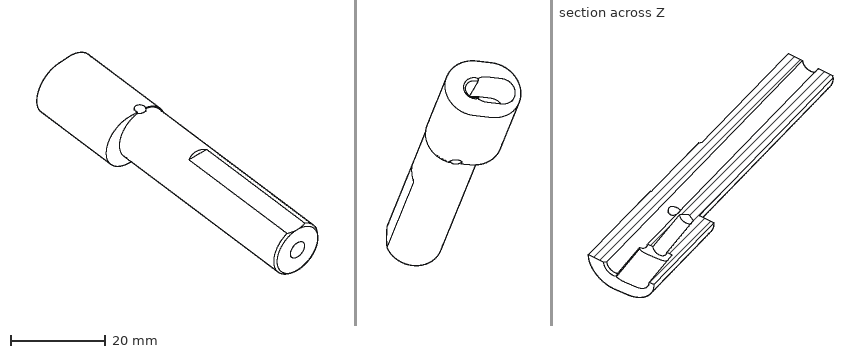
import cadquery as cq
import math

total_length = 73.0
head_length = 23.0

head_radius = 6.5
head_offset = 3.5
face_tilt = 4.0

shank_radius = 6.25
shank_chamfer = 0.5
flat_length = 32.0
flat_width = 5.0
flat_height = math.sqrt(shank_radius**2 - (flat_width / 2) ** 2)
flat_depth = shank_radius - flat_height

bore_diameter = 4.0
bore_chamfer = 0.5

cross_hole_diameter = 2.5
cross_hole_x = 22.5

pocket_radius = 3.0
pocket_near_wall = 0.75
pocket_near_center = 2.5
pocket_far_center = 5.75
pocket_depth = 9.5
blind_hole_diameter = 3.3
blind_hole_depth = 11.0
drill_point_angle = 118.0

tilt_sine = math.sin(math.radians(face_tilt))
tilt_cosine = math.cos(math.radians(face_tilt))
tilted_face = cq.Plane(
    origin=(0, 0, 0),
    xDir=(tilt_sine, -tilt_cosine, 0),
    normal=(tilt_cosine, tilt_sine, 0),
)


def make_head():
    """Obround head whose end face is cut back at an angle for Y < 0."""
    head = (
        cq.Workplane("YZ")
        .center(-head_offset / 2, 0)
        .slot2D(head_offset + 2 * head_radius, 2 * head_radius)
        .extrude(head_length)
    )
    reach = head_offset + 2 * head_radius
    wedge = (
        cq.Workplane("XY")
        .polyline([(0, 0), (reach * tilt_sine / tilt_cosine, -reach), (0, -reach)])
        .close()
        .extrude(head_radius, both=True)
    )
    return head.cut(wedge)


def make_shank():
    """Round shank with a chamfered free end, running on from the head."""
    shank = cq.Workplane("YZ").workplane(offset=head_length).circle(shank_radius)
    return shank.extrude(total_length - head_length).faces(">X").chamfer(shank_chamfer)


def flat_cutter():
    """Cutter for the flat on the +Z side, entering on a 45 degree ramp."""
    flat_start = total_length - flat_length
    return (
        cq.Workplane("XZ")
        .moveTo(flat_start, flat_height)
        .lineTo(total_length, flat_height)
        .lineTo(total_length, shank_radius)
        .lineTo(flat_start - flat_depth, shank_radius)
        .close()
        .extrude(shank_radius, both=True)
    )


def bore_cutter():
    """Through bore with a countersunk mouth at the head end."""
    bore_radius = bore_diameter / 2
    return (
        cq.Workplane("XY")
        .polyline([
            (0, 0),
            (0, bore_radius + bore_chamfer),
            (bore_chamfer, bore_radius),
            (total_length, bore_radius),
            (total_length, 0),
        ])
        .close()
        .revolve(360, (0, 0, 0), (1, 0, 0))
    )


def pocket_cutter():
    """Slot-shaped pocket square to the tilted end face, its near end trimmed by a flat wall."""
    wall_offset = pocket_near_center - pocket_near_wall
    wall_half_width = math.sqrt(pocket_radius**2 - wall_offset**2)
    mid_angle = (math.acos(wall_offset / pocket_radius) + math.pi / 2) / 2
    mid_x = pocket_near_center - pocket_radius * math.cos(mid_angle)
    mid_y = pocket_radius * math.sin(mid_angle)
    return (
        cq.Workplane(tilted_face)
        .moveTo(pocket_near_wall, wall_half_width)
        .threePointArc((mid_x, mid_y), (pocket_near_center, pocket_radius))
        .lineTo(pocket_far_center, pocket_radius)
        .threePointArc((pocket_far_center + pocket_radius, 0), (pocket_far_center, -pocket_radius))
        .lineTo(pocket_near_center, -pocket_radius)
        .threePointArc((mid_x, -mid_y), (pocket_near_wall, -wall_half_width))
        .close()
        .extrude(pocket_depth)
    )


def blind_hole_cutter():
    """Drilled hole with a conical tip in the pocket floor."""
    radius = blind_hole_diameter / 2
    hole_end = pocket_depth + blind_hole_depth
    tip_length = radius / math.tan(math.radians(drill_point_angle / 2))
    mouth = tilted_face.toWorldCoords((pocket_far_center, 0, 0))
    drill_plane = cq.Plane(origin=mouth, xDir=tilted_face.xDir, normal=tilted_face.yDir)
    return (
        cq.Workplane(drill_plane)
        .polyline([(0, 0), (radius, 0), (radius, -hole_end), (0, -hole_end - tip_length)])
        .close()
        .revolve(360, (0, 0, 0), (0, 1, 0))
    )


def cross_hole_cutter():
    """Vertical pin hole through the bore axis."""
    hole = cq.Workplane("XY").center(cross_hole_x, 0).circle(cross_hole_diameter / 2)
    return hole.extrude(head_radius, both=True)


result = make_head().union(make_shank())
for turn in (0, -90):
    result = result.cut(flat_cutter().rotate((0, 0, 0), (1, 0, 0), turn))
result = (
    result.cut(bore_cutter())
    .cut(pocket_cutter())
    .cut(blind_hole_cutter())
    .cut(cross_hole_cutter())
)